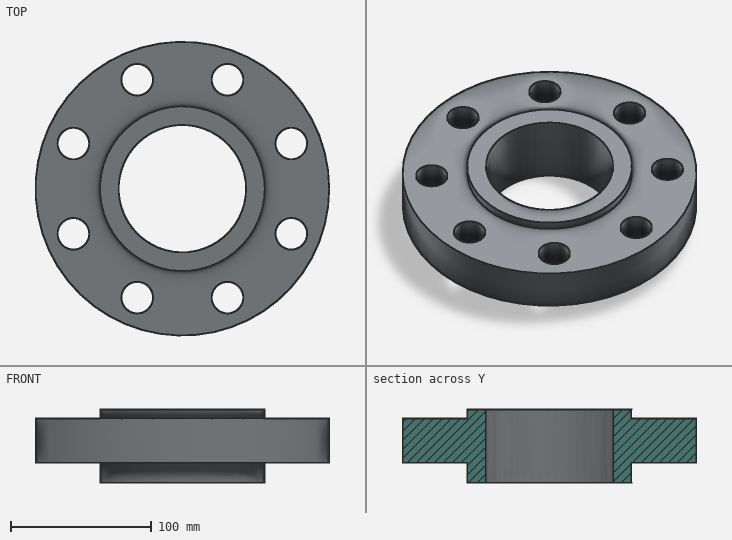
import cadquery as cq

flange_diameter = 209.55
flange_thickness = 31.75

hub_diameter = 117.35
raised_face_height = 6.35
overall_height = 52.32
hub_height = overall_height - flange_thickness - raised_face_height

bore_diameter = 90.68
bolt_hole_count = 8
bolt_hole_diameter = 22.35
bolt_circle_diameter = 168.15
bolt_angle_step = 360 / bolt_hole_count
first_bolt_angle = bolt_angle_step / 2


def make_body():
    """Flange plate with its hub and raised face; the base of the hub is at Z = 0."""
    hub = cq.Workplane("XY").circle(hub_diameter / 2).extrude(overall_height)
    plate = (
        cq.Workplane("XY")
        .workplane(offset=hub_height)
        .circle(flange_diameter / 2)
        .extrude(flange_thickness)
    )
    return hub.union(plate)


def make_bore():
    return cq.Workplane("XY").circle(bore_diameter / 2).extrude(overall_height)


def make_bolt_holes():
    """Ring of cylinders that pass through the flange plate."""
    return (
        cq.Workplane("XY")
        .workplane(offset=hub_height)
        .polarArray(bolt_circle_diameter / 2, first_bolt_angle, 360, bolt_hole_count)
        .circle(bolt_hole_diameter / 2)
        .extrude(flange_thickness)
    )


result = make_body().cut(make_bore()).cut(make_bolt_holes())